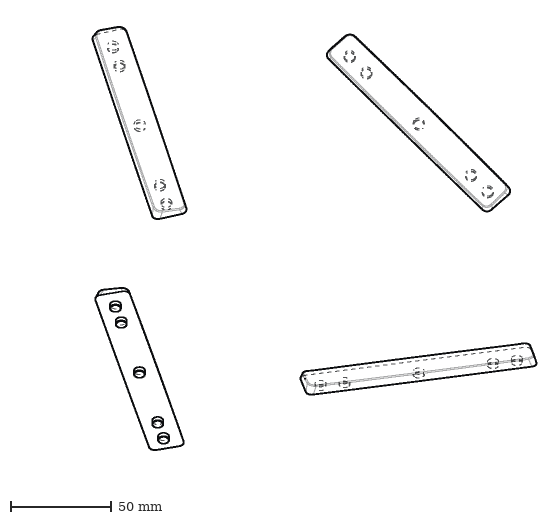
import cadquery as cq
import math

length = 117.9
width = 18.0
base_corner_radius = 3.1
base_side_bow = 0.1

loft_height = 5.9
top_end_inset = 1.4
top_side_inset = 1.1
top_side_bow = 0.5
top_corner_radius = 3.9

top_mid_height = 3.8
top_fall = 0.11
flat_half_length = 50.9
end_rise = 0.6
rim_radius = 0.6

peg_diameter = 5.5
peg_length = 2.5
peg_edge_chamfer = 0.2
peg_positions = (-50.1, -38.0, 0, 38.0, 50.1)


def key_outline(workplane, end_inset, side_inset, side_bow, corner_radius):
    """Rounded rectangle whose long sides bow outward by side_bow at the middle."""
    half_x = length / 2 - end_inset
    mid_y = width / 2 - side_inset
    end_y = mid_y - side_bow
    straight_x = half_x - corner_radius
    straight_y = end_y - corner_radius
    diagonal = corner_radius * math.sqrt(0.5)
    arc_x = straight_x + diagonal
    arc_y = straight_y + diagonal
    return (
        workplane.moveTo(-straight_x, -end_y)
        .threePointArc((0, -mid_y), (straight_x, -end_y))
        .threePointArc((arc_x, -arc_y), (half_x, -straight_y))
        .lineTo(half_x, straight_y)
        .threePointArc((arc_x, arc_y), (straight_x, end_y))
        .threePointArc((0, mid_y), (-straight_x, end_y))
        .threePointArc((-arc_x, arc_y), (-half_x, straight_y))
        .lineTo(-half_x, -straight_y)
        .threePointArc((-arc_x, -arc_y), (-straight_x, -end_y))
        .close()
    )


def tapered_block():
    """Solid with leaning walls, taller than the finished part."""
    base = key_outline(cq.Workplane("XY"), 0, 0, base_side_bow, base_corner_radius)
    raised = base.workplane(offset=loft_height)
    top = key_outline(raised, top_end_inset, top_side_inset, top_side_bow, top_corner_radius)
    return top.loft(ruled=True, combine=True)


def space_above_top():
    """Tilted solid whose underside is the finished top face."""
    half_x = length / 2
    end_slope = 2 * end_rise / (half_x - flat_half_length)
    ceiling = 2 * loft_height
    tilted = cq.Plane(
        origin=(0, width, top_mid_height - top_fall * width),
        xDir=(1, 0, 0),
        normal=(0, -1, top_fall),
    )
    return (
        cq.Workplane(tilted)
        .spline(
            [(-half_x, end_rise), (-flat_half_length, 0), (flat_half_length, 0), (half_x, end_rise)],
            tangents=[(1, -end_slope), (1, 0), (1, 0), (1, end_slope)],
        )
        .lineTo(half_x, ceiling)
        .lineTo(-half_x, ceiling)
        .close()
        .extrude(2 * width)
    )


def pegs():
    """Row of round pegs hanging below the base."""
    return (
        cq.Workplane("XY")
        .pushPoints([(x, 0) for x in peg_positions])
        .circle(peg_diameter / 2)
        .extrude(-peg_length)
        .faces("<Z")
        .chamfer(peg_edge_chamfer)
    )


def round_rim(block):
    """Round the edge between the top face and the walls."""
    rim_floor = 2.6
    around_rim = cq.selectors.BoxSelector((-length, -width, rim_floor), (length, width, loft_height))
    return block.edges(around_rim).fillet(rim_radius)


body = round_rim(tapered_block().cut(space_above_top()))
result = body.union(pegs())